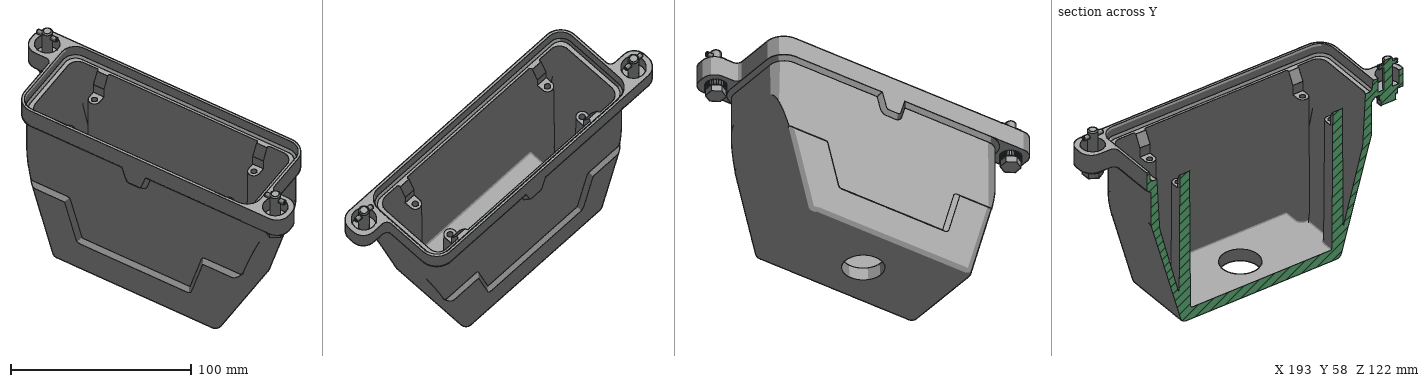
import cadquery as cq
import math


flange_half_x = 78.0
flange_half_y = 29.0
flange_thickness = 12.3
flange_corner_radius = 11.0
lug_end_x = 96.5
lug_width = 19.0
lug_corner_radius = 8.0
lug_root_radius = 3.5

flare_angle = 45.0
pick_margin = 1.0

body_half_x = 75.55
body_half_y = 26.5
body_corner_radius = 9.4
body_depth = 111.5
taper_start_depth = 35.4
end_slope = math.tan(math.radians(15.8))
skirt_edge_radius = 4.2
bottom_edge_radius = 4.0
relief_depth = flange_half_y - body_half_y
flare_under_flange = 2.4

relief_shoulder_depth = 58.6
relief_floor_depth = 86.8
relief_shoulder_x = 43.2
relief_floor_x = 35.2
relief_shoulder_radius = 2.7
relief_floor_radius = 0.8

pad_top_half_x = 10.2
pad_bottom_half_x = 6.3
pad_bottom_depth = 25.0
pad_corner_radius = 4.5

rim_half_x = 76.4
rim_half_y = 27.4
rim_corner_radius = 9.0
shelf_depth = 7.0
rim_stages = [
    (0.0, 0.0, 0.6),
    (1.5, 0.6, 0.9),
    (5.7, 0.9, 2.3),
]
cavity_half_x = 71.5
cavity_half_y = 23.6
cavity_bend_half_x = 69.6
cavity_bend_depth = 41.5
cavity_bend_radius = 15.0
cavity_corner_radius = 6.5
cavity_draft = 0.75
end_wall = 3.2
floor_depth = 103.5
cavity_floor_radius = 1.2
cable_hole_diameter = 24.0

boss_x = 52.0
boss_y = 13.6
boss_radius = 3.4
boss_draft = 0.4
boss_root_radius = 1.0
boss_top_depth = 20.4
boss_ramp_low_depth = 14.2
boss_ramp_low_y = 18.0
boss_ramp_high_y = 22.0
boss_hole_diameter = 3.4
boss_hole_depth = 15.0

screw_x = 86.5
screw_y = flange_half_y - lug_width / 2
screw_top = 10.45
screw_diameter = 6.0
screw_chamfer = 0.8
cross_pin_height = 6.6
cross_pin_length = 13.0
cross_pin_diameter = 2.8
cross_pin_chamfer = 0.4
pocket_diameter = 14.0
pocket_depth = 9.3
washer_diameter = 12.6
washer_thickness = 3.2
washer_teeth = 20
washer_notch_depth = 0.4
washer_notch_width = math.pi * washer_diameter / washer_teeth / 2
head_across_flats = 10.2
head_height = 4.0


def rounded_block(half_x, half_y, radius, top_depth, height, taper=0.0):
    """Rounded rectangular block extruded downwards; positive taper narrows it."""
    sketch = cq.Sketch().rect(2 * half_x, 2 * half_y).vertices().fillet(radius)
    return (
        cq.Workplane("XY", origin=(0, 0, -top_depth))
        .placeSketch(sketch)
        .extrude(-height, taper=taper)
    )


def end_x_at(depth):
    """Half length of the hood at a depth within its tapered part."""
    return body_half_x - (depth - taper_start_depth) * end_slope


def hood_prism(profile, half_width):
    """Prism across the hood, symmetric in X, from (half length, depth) points going down."""
    right = [(half_x, -depth) for half_x, depth in profile]
    left = [(-half_x, -depth) for half_x, depth in reversed(profile)]
    return cq.Workplane("XZ").polyline(right + left).close().extrude(half_width, both=True)


def make_flange():
    """Flange plate with lugs at the (-X, +Y) and (+X, -Y) corners."""
    flange = rounded_block(flange_half_x, flange_half_y, flange_corner_radius, 0, flange_thickness)
    root_x = flange_half_x / 2
    for side in (-1, 1):
        lug = (
            cq.Workplane("XY")
            .center(side * (lug_end_x + root_x) / 2, -side * screw_y)
            .rect(lug_end_x - root_x, lug_width)
            .extrude(-flange_thickness)
            .edges("|Z and " + (">X" if side > 0 else "<X"))
            .fillet(lug_corner_radius)
        )
        flange = flange.union(lug)
        root = cq.selectors.NearestToPointSelector(
            (side * flange_half_x, -side * (flange_half_y - lug_width), -flange_thickness / 2)
        )
        flange = flange.edges(root).fillet(lug_root_radius)
    return flange


def make_skirt():
    """Full-width lower body with both long faces relieved."""
    skirt_profile = [
        (end_x_at(relief_shoulder_depth), relief_shoulder_depth),
        (end_x_at(body_depth), body_depth),
    ]
    skirt = (
        hood_prism(skirt_profile, flange_half_y)
        .edges("not(|Y or |X or |Z)")
        .fillet(skirt_edge_radius)
        .faces("<Z")
        .edges()
        .fillet(bottom_edge_radius)
    )
    for side in (-1, 1):
        skirt = skirt.cut(make_relief(side))
    return skirt


def make_relief(side):
    """Region removed from one long face; its walls flare outwards."""
    reach = flange_half_x + body_depth
    outline = (
        cq.Sketch()
        .polygon([
            (-reach, reach),
            (reach, reach),
            (reach, -relief_shoulder_depth),
            (relief_shoulder_x, -relief_shoulder_depth),
            (relief_floor_x, -relief_floor_depth),
            (-relief_floor_x, -relief_floor_depth),
            (-relief_shoulder_x, -relief_shoulder_depth),
            (-reach, -relief_shoulder_depth),
            (-reach, reach),
        ])
        .vertices("<Y")
        .fillet(relief_floor_radius)
        .reset()
        .vertices(cq.selectors.BoxSelector(
            (-relief_shoulder_x - pick_margin, -relief_shoulder_depth - pick_margin, -pick_margin),
            (relief_shoulder_x + pick_margin, -relief_shoulder_depth + pick_margin, pick_margin),
        ))
        .fillet(relief_shoulder_radius)
    )
    return (
        cq.Workplane("XZ", origin=(0, side * body_half_y, 0))
        .placeSketch(outline)
        .extrude(-side * relief_depth, taper=-flare_angle)
    )


def make_body():
    """Outer hood: rounded upper body, skirt below it and flare up to the flange."""
    upper = rounded_block(body_half_x, body_half_y, body_corner_radius, 0, relief_shoulder_depth)
    end_profile = [
        (body_half_x, 0),
        (body_half_x, taper_start_depth),
        (end_x_at(body_depth), body_depth),
    ]
    upper = upper.intersect(hood_prism(end_profile, flange_half_y))
    flare = rounded_block(
        body_half_x + flare_under_flange,
        body_half_y + flare_under_flange,
        body_corner_radius + flare_under_flange,
        flange_thickness,
        flare_under_flange,
        taper=flare_angle,
    )
    return upper.union(make_skirt()).union(flare)


def make_pad(side):
    """Bevelled trapezoidal pad on one long face, flush with the flange edge."""
    pad_top = flange_thickness / 2
    outline = (
        cq.Sketch()
        .polygon([
            (-pad_top_half_x, -pad_top),
            (pad_top_half_x, -pad_top),
            (pad_top_half_x, -flange_thickness),
            (pad_bottom_half_x, -pad_bottom_depth),
            (-pad_bottom_half_x, -pad_bottom_depth),
            (-pad_top_half_x, -flange_thickness),
            (-pad_top_half_x, -pad_top),
        ])
        .vertices("<Y")
        .fillet(pad_corner_radius)
    )
    return (
        cq.Workplane("XZ", origin=(0, side * body_half_y, 0))
        .placeSketch(outline)
        .extrude(-side * relief_depth, taper=flare_angle)
    )


def make_boss():
    """Drafted boss joined to the +Y wall, stepped down from a ramp at the wall."""
    height = floor_depth - shelf_depth
    boss = (
        cq.Workplane("XY", origin=(boss_x, boss_y, -shelf_depth))
        .moveTo(boss_radius, body_half_y - boss_y)
        .lineTo(boss_radius, 0)
        .threePointArc((0, -boss_radius), (-boss_radius, 0))
        .lineTo(-boss_radius, body_half_y - boss_y)
        .close()
        .extrude(-height, taper=-boss_draft)
    )
    step = (
        cq.Workplane("YZ", origin=(boss_x, 0, 0))
        .polyline([
            (0, -shelf_depth),
            (boss_ramp_high_y, -shelf_depth),
            (boss_ramp_low_y, -boss_ramp_low_depth),
            (boss_ramp_low_y, -boss_top_depth),
            (0, -boss_top_depth),
        ])
        .close()
        .extrude(2 * boss_radius, both=True)
    )
    hole = (
        cq.Workplane("XY", origin=(boss_x, boss_y, -boss_top_depth))
        .circle(boss_hole_diameter / 2)
        .extrude(-boss_hole_depth)
    )
    return boss.cut(step).cut(hole)


def make_cavity():
    """Drafted cavity with inclined ends, less the four bosses standing in it."""
    cavity_profile = [
        (cavity_half_x, shelf_depth),
        (cavity_bend_half_x, cavity_bend_depth),
        (end_x_at(floor_depth) - end_wall, floor_depth),
    ]
    long_walls = (
        cq.Workplane("XY", origin=(0, 0, -shelf_depth))
        .rect(2 * body_half_x, 2 * cavity_half_y)
        .extrude(shelf_depth - floor_depth, taper=cavity_draft)
    )
    bend_zone = cq.selectors.BoxSelector(
        (-cavity_half_x, -cavity_half_y, -cavity_bend_depth - pick_margin),
        (cavity_half_x, cavity_half_y, -cavity_bend_depth + pick_margin),
    )
    cavity = (
        hood_prism(cavity_profile, cavity_half_y)
        .edges(bend_zone)
        .fillet(cavity_bend_radius)
        .edges("(>Y or <Y) and (not |X)")
        .fillet(cavity_corner_radius)
        .intersect(long_walls)
    )
    boss_row = make_boss().union(make_boss().mirror("YZ"))
    cavity = cavity.cut(boss_row).cut(boss_row.mirror("XZ"))
    for side_x in (-1, 1):
        for side_y in (-1, 1):
            root_zone = cq.selectors.BoxSelector(
                (side_x * (boss_x - 2 * boss_radius), side_y * boss_ramp_high_y, -floor_depth + pick_margin),
                (side_x * (boss_x + 2 * boss_radius), side_y * body_half_y, -boss_top_depth),
            )
            cavity = cavity.edges(root_zone).fillet(boss_root_radius)
    return cavity.faces("<Z").edges().fillet(cavity_floor_radius)


def make_rim_recess():
    """Stepped recess from the mating face down to the shelf around the cavity."""
    recess = cq.Workplane("XY")
    stage_ends = [stage[0] for stage in rim_stages[1:]] + [shelf_depth]
    for (start, start_inset, end_inset), end in zip(rim_stages, stage_ends):
        stage = rounded_block(
            rim_half_x - start_inset,
            rim_half_y - start_inset,
            rim_corner_radius - start_inset,
            start,
            end - start,
            taper=math.degrees(math.atan2(end_inset - start_inset, end - start)),
        )
        recess = recess.union(stage)
    return recess


def make_washer():
    """Serrated washer against the underside of a lug."""
    washer = cq.Workplane("XY").circle(washer_diameter / 2).extrude(-washer_thickness)
    notches = (
        cq.Workplane("XY")
        .polarArray(washer_diameter / 2, 0, 360, washer_teeth)
        .rect(2 * washer_notch_depth, washer_notch_width)
        .extrude(-washer_thickness)
    )
    return washer.cut(notches).translate((0, 0, -flange_thickness))


def make_screw():
    """Shank with cross pin, serrated washer and hexagonal head."""
    head_top = flange_thickness + washer_thickness
    shank = (
        cq.Workplane("XY", origin=(0, 0, -head_top))
        .circle(screw_diameter / 2)
        .extrude(screw_top + head_top)
        .faces(">Z")
        .chamfer(screw_chamfer)
    )
    cross_pin = (
        cq.Workplane("YZ", origin=(0, 0, cross_pin_height))
        .circle(cross_pin_diameter / 2)
        .extrude(cross_pin_length / 2, both=True)
        .faces("<X or >X")
        .chamfer(cross_pin_chamfer)
    )
    head = (
        cq.Workplane("XY", origin=(0, 0, -head_top))
        .transformed(rotate=(0, 0, 90))
        .polygon(6, head_across_flats / math.cos(math.pi / 6))
        .extrude(-head_height)
    )
    return shank.union(cross_pin).union(make_washer()).union(head)


def make_hood():
    """Hood casting without the locking screws."""
    hood = make_flange().union(make_body())
    for side in (-1, 1):
        hood = hood.union(make_pad(side))
    hood = hood.cut(make_rim_recess()).cut(make_cavity())
    cable_hole = cq.Workplane("XY").circle(cable_hole_diameter / 2).extrude(-body_depth)
    return hood.cut(cable_hole)


result = make_hood()
for side in (-1, 1):
    screw_place = (side * screw_x, -side * screw_y, 0)
    pocket = cq.Workplane("XY").circle(pocket_diameter / 2).extrude(-pocket_depth)
    result = result.cut(pocket.translate(screw_place))
    result = result.union(make_screw().translate(screw_place))